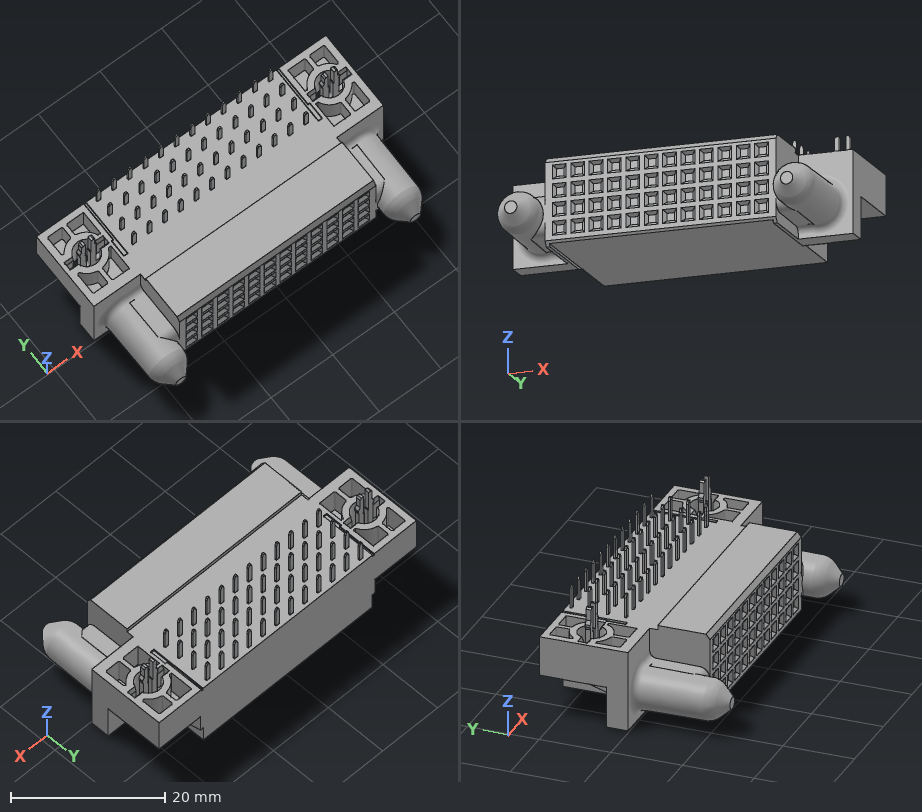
import cadquery as cq
import math


length = 47.0
flange_depth = 12.35
flange_top = 11.35
ear_underside = 5.8
ear_leg_depth = 3.0
body_half_width = 15.95
nose_front = -8.4
nose_step = -1.15
nose_top = 12.0
nose_bevel_depth = 0.55
nose_bevel_height = 0.7
skid_width = 0.5
skid_height = 0.38
skid_rear_rise = 2.95

pitch = 2.55
columns = 12
rows = 4
lowest_cavity_z = 2.3
cavity_mouth = 1.9
cavity_floor = 1.05
cavity_depth = 0.45
first_tail_y = 4.05
tail_width = 0.6
tail_thickness = 0.3
tail_tip_width = 0.3
tail_tip_height = 0.45
tail_top = 14.7
tail_root = 0.25

guide_x = 19.05
guide_z = 4.35
guide_base_radius = 2.95
guide_end_radius = 2.85
guide_flare = 1.0
guide_straight_end = -9.8
guide_shoulder_radius = 2.2
guide_shoulder_bulge = 0.15
guide_shoulder_end = -11.3
guide_tip_radius = 0.85
guide_tip = -12.8
web_half_height = 2.8
web_nose_radius = 1.5
web_blend_radius = 4.25
web_embed = 0.45

lock_x = 19.7
lock_y = 6.6
lock_hole_radius = 1.95
lock_slot_length = 6.3
lock_slot_mouth = 1.3
lock_slot_bevel = 0.6
lock_slot_floor = 6.6

pocket_ring_radius = 2.9
pocket_rib_half = 0.35
pocket_rear_reach = 4.8
pocket_front_reach = 5.07
pocket_outer_reach = 2.75
pocket_inner_reach = 3.1
pocket_outer_gap = 1.65
pocket_inner_gap = 1.15
pocket_floor = 7.5
pocket_corner = 0.21

clip_thickness = 0.7
clip_base_width = 6.1
clip_base_top = 7.75
clip_top = 15.3
clip_gap_half = 0.45
clip_root_gap_half = 0.35
clip_root_top = 11.75
clip_root_half = 1.25
clip_barb_half = 1.4
clip_end_half = 1.1
clip_barb_start = 12.3
clip_barb_low = 12.7
clip_barb_high = 13.0
clip_barb_end = 13.55
clip_tip_bevel = 0.25

groove_depth = 0.3
groove_inner = 15.45
groove_outer = 15.8
groove_wide_outer = 16.05
groove_wide_rear = 6.0
groove_wide_front = 3.35


def box(x0, x1, y0, y1, z0, z1):
    """Box between opposite corner coordinates."""
    return cq.Workplane("XY").box(x1 - x0, y1 - y0, z1 - z0, centered=False).translate((x0, y0, z0))


def column_positions():
    return [(i - (columns - 1) / 2) * pitch for i in range(columns)]


def both_ends(shape):
    """A feature of the +X end together with its mirror image."""
    return shape.union(shape.mirror("YZ"))


def make_housing():
    """Flange with stepped ears, and the central body with its bevelled nose."""
    half = length / 2
    ears = box(-half, half, 0, flange_depth, ear_underside, flange_top)
    legs = box(-half, half, 0, ear_leg_depth, 0, flange_top)
    body_profile = [
        (flange_depth, flange_top),
        (nose_step, flange_top),
        (nose_step, nose_top),
        (nose_front + nose_bevel_depth, nose_top),
        (nose_front, nose_top - nose_bevel_height),
        (nose_front, nose_bevel_height),
        (nose_front + nose_bevel_depth, 0),
        (ear_leg_depth, 0),
        (flange_depth, skid_rear_rise),
    ]
    body = cq.Workplane("YZ").polyline(body_profile).close().extrude(body_half_width, both=True)
    core_half = body_half_width - skid_width
    underside = box(-core_half, core_half, nose_front, flange_depth, 0, skid_height)
    core_rear = box(-core_half, core_half, 0, flange_depth, skid_height, flange_top)
    return ears.union(legs).union(body).union(core_rear).cut(underside)


def make_cavities():
    """Tapered square mouths, one for each contact."""
    points = [(x, lowest_cavity_z + r * pitch) for x in column_positions() for r in range(rows)]
    taper = math.degrees(math.atan((cavity_mouth - cavity_floor) / 2 / cavity_depth))
    return (
        cq.Workplane("XZ", origin=(0, nose_front, 0))
        .pushPoints(points)
        .rect(cavity_mouth, cavity_mouth)
        .extrude(-cavity_depth, taper=taper)
    )


def make_tails():
    """Flat solder tails with narrowed tips."""
    half = tail_width / 2
    tip_half = tail_tip_width / 2
    shoulder = tail_top - tail_tip_height
    profile = [
        (-half, flange_top - tail_root),
        (half, flange_top - tail_root),
        (half, shoulder),
        (tip_half, tail_top),
        (-tip_half, tail_top),
        (-half, shoulder),
    ]
    tail = cq.Workplane("XZ").polyline(profile).close().extrude(tail_thickness / 2, both=True).val()
    points = [(x, first_tail_y + r * pitch) for x in column_positions() for r in range(rows)]
    tails = [tail.translate(cq.Vector(x, y, 0)) for x, y in points]
    return cq.Workplane(cq.Compound.makeCompound(tails))


def make_guide():
    """Guide pin with a flared root, joined to the body by a rounded web."""
    flare_mid = guide_flare * (1 - math.sqrt(0.5))
    shoulder_mid = (
        (guide_end_radius + guide_shoulder_radius) / 2 + guide_shoulder_bulge,
        (guide_straight_end + guide_shoulder_end) / 2,
    )
    pin = (
        cq.Workplane("XY")
        .lineTo(guide_base_radius + guide_flare, 0)
        .threePointArc((guide_base_radius + flare_mid, -flare_mid), (guide_base_radius, -guide_flare))
        .lineTo(guide_end_radius, guide_straight_end)
        .threePointArc(shoulder_mid, (guide_shoulder_radius, guide_shoulder_end))
        .lineTo(guide_tip_radius, guide_tip)
        .lineTo(0, guide_tip)
        .close()
        .revolve(360, (0, 0, 0), (0, 1, 0))
        .translate((guide_x, 0, guide_z))
    )
    draft = math.degrees(
        math.atan((guide_base_radius - guide_end_radius) / (-guide_flare - guide_straight_end))
    )
    centre_distance = guide_base_radius + web_blend_radius
    centre_height = web_half_height + web_blend_radius
    centre_x = -math.sqrt(centre_distance**2 - centre_height**2)
    touch_x = centre_x * guide_base_radius / centre_distance
    touch_height = centre_height * guide_base_radius / centre_distance
    web_length = guide_x - body_half_width
    web_end_x = -web_length - web_embed
    web = (
        cq.Workplane("XZ", origin=(guide_x, -guide_flare, guide_z))
        .moveTo(web_end_x, web_half_height)
        .lineTo(centre_x, web_half_height)
        .radiusArc((touch_x, touch_height), -web_blend_radius)
        .lineTo(touch_x, -touch_height)
        .radiusArc((centre_x, -web_half_height), -web_blend_radius)
        .lineTo(web_end_x, -web_half_height)
        .close()
        .extrude(-guide_flare - nose_front, taper=draft)
        .edges("|X and <Y")
        .fillet(web_nose_radius)
    )
    root_half = web_half_height + guide_flare
    flare_mid_height = web_half_height + flare_mid
    web_root = (
        cq.Workplane("YZ", origin=(body_half_width, 0, guide_z))
        .moveTo(0, -root_half)
        .threePointArc((-flare_mid, -flare_mid_height), (-guide_flare, -web_half_height))
        .lineTo(-guide_flare, web_half_height)
        .threePointArc((-flare_mid, flare_mid_height), (0, root_half))
        .close()
        .extrude(web_length)
    )
    return pin.union(web).union(web_root)


def make_pocket_pair(depth_reach):
    """Outer and inner pockets on the +Y side of the lock hole, centred on the hole."""
    ring = cq.Workplane("XY").circle(pocket_ring_radius).extrude(flange_top)
    outer_block = box(
        pocket_rib_half, pocket_outer_reach, pocket_outer_gap, depth_reach, pocket_floor, flange_top
    )
    inner_block = box(
        -pocket_inner_reach, -pocket_rib_half, pocket_inner_gap, depth_reach, pocket_floor, flange_top
    )
    outer = outer_block.cut(ring).edges("|Z").fillet(pocket_corner)
    inner = inner_block.cut(ring).edges("|Z and >X").fillet(pocket_corner)
    return outer.union(inner)


def make_lock_cutouts():
    """Through hole, bevelled clip slot and four pockets of the +X ear."""
    hole = cq.Workplane("XY").circle(lock_hole_radius).extrude(flange_top)
    mouth_half = lock_slot_mouth / 2
    slot_half = clip_thickness / 2
    bevel_bottom = flange_top - lock_slot_bevel
    slot_profile = [
        (-slot_half, lock_slot_floor),
        (slot_half, lock_slot_floor),
        (slot_half, bevel_bottom),
        (mouth_half, flange_top),
        (-mouth_half, flange_top),
        (-slot_half, bevel_bottom),
    ]
    slot = cq.Workplane("YZ").polyline(slot_profile).close().extrude(lock_slot_length / 2, both=True)
    rear_pockets = make_pocket_pair(pocket_rear_reach)
    front_pockets = make_pocket_pair(pocket_front_reach).mirror("XZ")
    cutouts = hole.union(slot).union(rear_pockets).union(front_pockets)
    return cutouts.translate((lock_x, lock_y, 0))


def make_clip():
    """Flat board lock: a base plate in the slot with two barbed legs."""
    base_half = clip_base_width / 2
    right_leg = [
        (base_half, lock_slot_floor),
        (base_half, clip_base_top),
        (clip_root_half, clip_base_top),
        (clip_root_half, clip_barb_start),
        (clip_barb_half, clip_barb_low),
        (clip_barb_half, clip_barb_high),
        (clip_end_half, clip_barb_end),
        (clip_end_half, clip_top - clip_tip_bevel),
        (clip_end_half - clip_tip_bevel, clip_top),
        (clip_gap_half, clip_top),
        (clip_gap_half, clip_root_top),
        (clip_root_gap_half, clip_root_top),
        (clip_root_gap_half, clip_base_top),
    ]
    left_leg = [(-x, z) for x, z in reversed(right_leg)]
    return (
        cq.Workplane("XZ")
        .polyline(right_leg)
        .threePointArc((0, clip_base_top - clip_root_gap_half), (-clip_root_gap_half, clip_base_top))
        .polyline(left_leg, includeCurrent=False)
        .close()
        .extrude(clip_thickness / 2, both=True)
        .translate((lock_x, lock_y, 0))
    )


def make_groove():
    """Narrow relief groove open to the rear, widening at its front end."""
    floor = flange_top - groove_depth
    narrow = box(groove_inner, groove_outer, groove_wide_rear, flange_depth, floor, flange_top)
    wide = box(groove_inner, groove_wide_outer, groove_wide_front, groove_wide_rear, floor, flange_top)
    return narrow.union(wide)


result = (
    make_housing()
    .union(both_ends(make_guide()))
    .cut(make_cavities())
    .cut(both_ends(make_lock_cutouts()))
    .cut(both_ends(make_groove()))
    .union(both_ends(make_clip()))
    .union(make_tails())
)